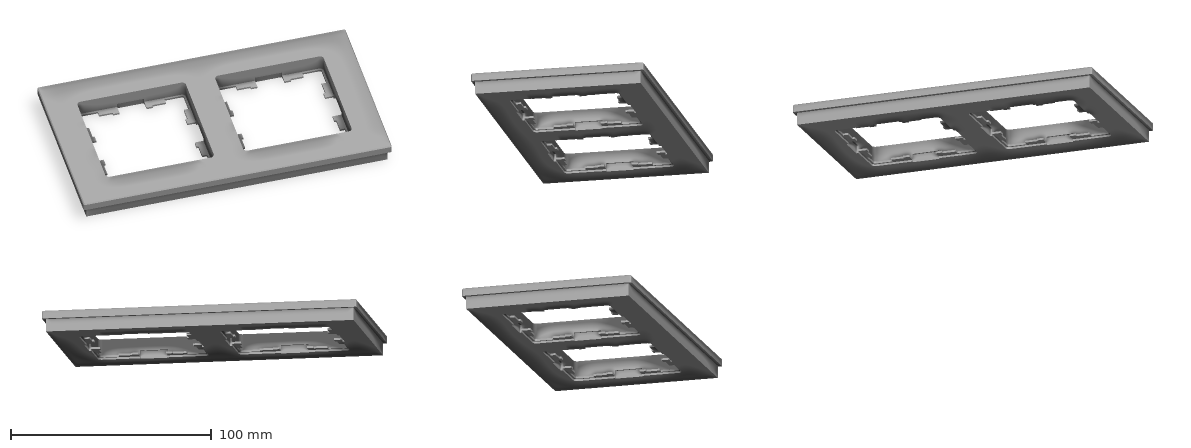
import cadquery as cq


FRAME_WIDTH = 88.0
GANG_PITCH = 71.2
FRAME_LENGTH = FRAME_WIDTH + GANG_PITCH
FRAME_HEIGHT = 10.3
PLATE_THICKNESS = 4.0
BASE_HEIGHT = FRAME_HEIGHT - PLATE_THICKNESS
BASE_INSET = 1.8
PLATE_CORNER_RADIUS = 0.8
PLATE_EDGE_CHAMFER = 0.5

WINDOW_SIZE = 56.0
WINDOW_CORNER_RADIUS = 2.0
HALF_WINDOW = WINDOW_SIZE / 2

LIP_WIDTH = 1.0
LIP_BOTTOM = 1.0
LIP_TOP = 2.0
LIP_CORNER_RADIUS = WINDOW_CORNER_RADIUS - LIP_WIDTH

TAB_INNER = 7.0
TAB_STEP = 10.3
TAB_OUTER = 17.2
TAB_REACH_LONG = 4.5
TAB_REACH_SHORT = 3.5

RECESS_DEPTH = 1.0
RECESS_TOP = 4.0

SIDE_ANGLES = (0, 90, 180, 270)
WINDOW_CENTERS = (-GANG_PITCH / 2, GANG_PITCH / 2)


def block(width, length, bottom, top):
    """Box centred on the Z axis between two heights."""
    return cq.Workplane("XY").workplane(offset=bottom).rect(width, length).extrude(top - bottom)


def make_body():
    base = block(FRAME_WIDTH - 2 * BASE_INSET, FRAME_LENGTH - 2 * BASE_INSET, 0, BASE_HEIGHT)
    plate = block(FRAME_WIDTH, FRAME_LENGTH, BASE_HEIGHT, FRAME_HEIGHT)
    plate = plate.edges("|Z").fillet(PLATE_CORNER_RADIUS)
    plate = plate.faces(">Z").edges().chamfer(PLATE_EDGE_CHAMFER)
    return base.union(plate)


def make_window():
    """Rounded square opening, including a recess in the middle of each wall."""
    window = block(WINDOW_SIZE, WINDOW_SIZE, 0, FRAME_HEIGHT).edges("|Z").fillet(WINDOW_CORNER_RADIUS)
    recess_span = WINDOW_SIZE + 2 * RECESS_DEPTH
    window = window.union(block(2 * TAB_INNER, recess_span, 0, RECESS_TOP))
    return window.union(block(recess_span, 2 * TAB_INNER, 0, RECESS_TOP))


def make_lip():
    """Ring inside the window, cut away between the tabs of each pair."""
    opening_size = WINDOW_SIZE - 2 * LIP_WIDTH
    ring = block(WINDOW_SIZE, WINDOW_SIZE, LIP_BOTTOM, LIP_TOP).edges("|Z").fillet(WINDOW_CORNER_RADIUS)
    opening = block(opening_size, opening_size, LIP_BOTTOM, LIP_TOP).edges("|Z").fillet(LIP_CORNER_RADIUS)
    ring = ring.cut(opening)
    ring = ring.cut(block(2 * TAB_INNER, WINDOW_SIZE, LIP_BOTTOM, LIP_TOP))
    return ring.cut(block(WINDOW_SIZE, 2 * TAB_INNER, LIP_BOTTOM, LIP_TOP))


def make_tab():
    """Stepped tab on the +Y side of the window, right of the middle."""
    outline = [
        (TAB_INNER, HALF_WINDOW),
        (TAB_INNER, HALF_WINDOW - TAB_REACH_LONG),
        (TAB_STEP, HALF_WINDOW - TAB_REACH_LONG),
        (TAB_STEP, HALF_WINDOW - TAB_REACH_SHORT),
        (TAB_OUTER, HALF_WINDOW - TAB_REACH_SHORT),
        (TAB_OUTER, HALF_WINDOW),
    ]
    profile = cq.Workplane("XY").workplane(offset=LIP_BOTTOM).polyline(outline).close()
    return profile.extrude(LIP_TOP - LIP_BOTTOM)


def make_window_rim():
    """Lip with its eight tabs, for one window."""
    rim = make_lip()
    tab = make_tab()
    tab_pair = tab.union(tab.mirror("YZ"))
    for angle in SIDE_ANGLES:
        rim = rim.union(tab_pair.rotate((0, 0, 0), (0, 0, 1), angle))
    return rim


result = make_body()
window = make_window()
rim = make_window_rim()
for center_y in WINDOW_CENTERS:
    offset = (0, center_y, 0)
    result = result.cut(window.translate(offset)).union(rim.translate(offset))